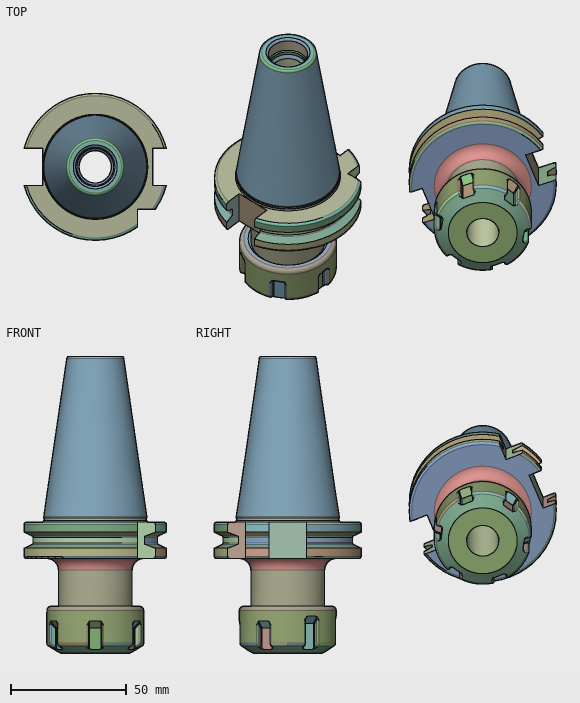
import cadquery as cq
import math

total_height = 128.4
gauge_height = 59.0
flange_top = 56.8
flange_bottom = 41.0
nut_top = 20.4

gauge_radius = 22.3
taper_slope = 7 / 24 / 2
small_end_radius = gauge_radius - taper_slope * (total_height - gauge_height)
small_end_fillet = 1.0

gauge_band_height = 0.6
relief_height = 1.0
relief_depth = 0.3
collar_radius = 22.7

bore_mouth_radius = 9.5
bore_radius = 8.5
bore_depth = 6.4
thread_radius = 8.0
thread_cone_depth = 8.3
through_radius = 6.9
through_depth = 9.9

flange_radius = 63.5 / 2
flange_fillet = 1.0
groove_floor_radius = 28.1
groove_height = 48.9
groove_half_width = 3.5
groove_floor_half_width = 1.7
groove_floor_fillet = 0.6
slot_width = 16.0
left_slot_floor = 22.7
right_slot_floor = 24.9
notch_x = 18.4
notch_y = -18.4

neck_radius = 32.0 / 2
neck_fillet = 5.0

nut_radius = 42.0 / 2
nut_top_fillet = 1.9
nut_inner_radius = 17.2
nut_face_radius = 14.9
nut_cone_height = 3.6
nut_cone_fillet = 1.7

wrench_slot_count = 6
first_wrench_angle = 30
wrench_slot_width = 5.8
wrench_floor_radius = 17.8
wrench_corner_chamfer = 0.4
wrench_edge_fillet = 0.6
low_slot_top = 14.1
high_slot_top = 16.2

clearance = 6.4
tolerance = 0.001


def revolved(profile):
    """Turn a closed (radius, height) profile on the XZ plane about the Z axis."""
    return profile.close().revolve(360, (0, 0, 0), (0, 1, 0))


def make_taper():
    band_bottom = gauge_height - gauge_band_height
    relief_bottom = band_bottom - relief_height
    profile = cq.Workplane("XZ").polyline([
        (0, flange_bottom),
        (collar_radius, flange_bottom),
        (collar_radius, flange_top),
        (gauge_radius, relief_bottom),
        (gauge_radius - relief_depth, relief_bottom),
        (gauge_radius - relief_depth, band_bottom),
        (gauge_radius, band_bottom),
        (gauge_radius, gauge_height),
        (small_end_radius, total_height),
        (0, total_height),
    ])
    return revolved(profile).faces(">Z").edges().fillet(small_end_fillet)


def make_flange():
    profile = cq.Workplane("XZ").polyline([
        (0, flange_bottom),
        (flange_radius, flange_bottom),
        (flange_radius, groove_height - groove_half_width),
        (groove_floor_radius, groove_height - groove_floor_half_width),
        (groove_floor_radius, groove_height + groove_floor_half_width),
        (flange_radius, groove_height + groove_half_width),
        (flange_radius, flange_top),
        (0, flange_top),
    ])
    flange = revolved(profile)
    flange = flange.edges(cq.selectors.RadiusNthSelector(0)).fillet(groove_floor_fillet)
    return flange.faces("<Z or >Z").edges().fillet(flange_fillet)


def flange_cut(x_near, x_far, y_near, y_far):
    """Block through the full flange thickness between two X and two Y places."""
    return (
        cq.Workplane("XY", origin=(0, 0, flange_bottom))
        .moveTo(x_near, y_near)
        .lineTo(x_far, y_near)
        .lineTo(x_far, y_far)
        .lineTo(x_near, y_far)
        .close()
        .extrude(flange_top - flange_bottom)
    )


def make_neck():
    profile = (
        cq.Workplane("XZ")
        .moveTo(0, nut_cone_height)
        .lineTo(neck_radius, nut_cone_height)
        .lineTo(neck_radius, flange_bottom - neck_fillet)
        .radiusArc((neck_radius + neck_fillet, flange_bottom), neck_fillet)
        .lineTo(0, flange_bottom)
    )
    return revolved(profile)


def wrench_slot(top, angle):
    """Cutter with a flat floor that runs out at 45 degrees to the nut barrel at its upper end."""
    run_out_depth = nut_radius - wrench_floor_radius
    cutter = (
        cq.Workplane("XZ")
        .moveTo(wrench_floor_radius, -clearance)
        .lineTo(wrench_floor_radius, top - run_out_depth)
        .lineTo(nut_radius + clearance, top + clearance)
        .lineTo(nut_radius + clearance, -clearance)
        .close()
        .extrude(wrench_slot_width / 2, both=True)
        .edges("not (|Y or >X or <Z)")
        .chamfer(wrench_corner_chamfer)
    )
    return cutter.rotate((0, 0, 0), (0, 0, 1), angle)


def is_wrench_opening(edge):
    """True for the upright slot edges on the nut barrel; the seam of the barrel lies at Y = 0."""
    middle = edge.positionAt(0.5)
    on_barrel = abs(math.hypot(middle.x, middle.y) - nut_radius) < tolerance
    is_seam = abs(middle.y) < tolerance
    return on_barrel and not is_seam and edge.geomType() == "LINE"


def make_nut():
    inner_chamfer = nut_inner_radius - neck_radius
    profile = cq.Workplane("XZ").polyline([
        (0, 0),
        (nut_face_radius, 0),
        (nut_radius, nut_cone_height),
        (nut_radius, nut_top),
        (nut_inner_radius, nut_top),
        (neck_radius, nut_top - inner_chamfer),
        (0, nut_top - inner_chamfer),
    ])
    nut = revolved(profile)
    rim = cq.selectors.RadiusNthSelector(-1)
    nut = nut.faces(">Z").edges(rim).fillet(nut_top_fillet)
    nut = nut.faces(">>Z[1]").edges(">Z").fillet(nut_cone_fillet)
    for index in range(wrench_slot_count):
        angle = first_wrench_angle + index * 360 / wrench_slot_count
        top = high_slot_top if angle < 180 else low_slot_top
        nut = nut.cut(wrench_slot(top, angle))
    opening_edges = [edge for edge in nut.edges().vals() if is_wrench_opening(edge)]
    return nut.newObject(opening_edges).fillet(wrench_edge_fillet)


def make_bore():
    mouth_depth = bore_mouth_radius - bore_radius
    shoulder_depth = bore_depth + bore_radius - thread_radius
    profile = cq.Workplane("XZ").polyline([
        (0, 0),
        (through_radius, 0),
        (through_radius, total_height - through_depth),
        (thread_radius, total_height - thread_cone_depth),
        (thread_radius, total_height - shoulder_depth),
        (bore_radius, total_height - bore_depth),
        (bore_radius, total_height - mouth_depth),
        (bore_mouth_radius, total_height),
        (0, total_height),
    ])
    return revolved(profile)


flange_reach = flange_radius + clearance
result = make_taper().union(make_flange())
result = result.cut(flange_cut(-flange_reach, -left_slot_floor, -slot_width / 2, slot_width / 2))
result = result.cut(flange_cut(right_slot_floor, flange_reach, -slot_width / 2, slot_width / 2))
result = result.cut(flange_cut(notch_x, flange_reach, -flange_reach, notch_y))
result = result.union(make_neck()).union(make_nut()).cut(make_bore())